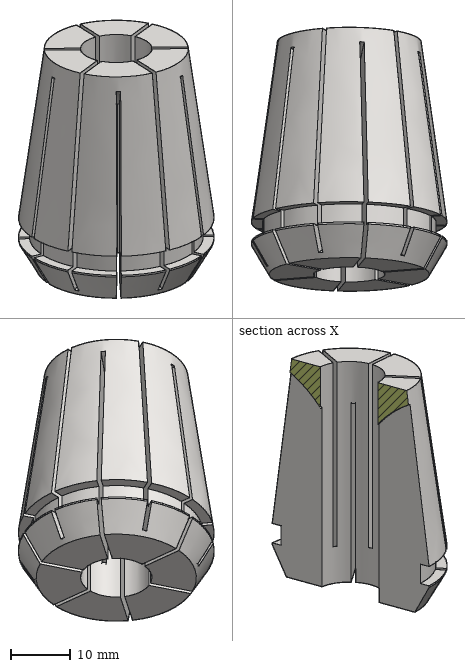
import cadquery as cq
import math

length = 40.0
rim_radius = 16.5
bore_radius = 6.0

taper_angle = 8.0
taper_start_z = 9.0
top_radius = rim_radius - (length - taper_start_z) * math.tan(math.radians(taper_angle))

nose_angle = 30.0
rim_bottom_z = 5.2
rim_top_z = 5.5
groove_radius = 14.65
nose_radius = rim_radius - rim_bottom_z * math.tan(math.radians(nose_angle))

slots_per_end = 6
slot_pitch = 360.0 / slots_per_end
slot_width = 0.75
cutter_radius = 22.0
cutter_center_radius = 22.5
top_slot_bore_z = 6.7
nose_slot_bore_z = 32.4
cutter_rise_at_bore = math.sqrt(cutter_radius**2 - (cutter_center_radius - bore_radius) ** 2)

clearance = 1.0
slot_inner_radius = bore_radius - clearance
slot_outer_radius = rim_radius + clearance


def make_body():
    """Revolved collet with its nose, groove, taper and plain bore."""
    profile = [
        (bore_radius, 0),
        (nose_radius, 0),
        (rim_radius, rim_bottom_z),
        (rim_radius, rim_top_z),
        (groove_radius, rim_top_z),
        (groove_radius, taper_start_z),
        (rim_radius, taper_start_z),
        (top_radius, length),
        (bore_radius, length),
    ]
    return cq.Workplane("XZ").polyline(profile).close().revolve(360, (0, 0), (0, 1))


def make_slot(open_z, bore_z, cutting_side):
    """Slot along +X, open at open_z, with its closed end rounded by a disc cutter.

    bore_z is the height where the closed end meets the bore; cutting_side is
    +1 for an end at the top of the disc and -1 for an end at its bottom.
    """
    center_z = bore_z - cutting_side * cutter_rise_at_bore

    def end_point(radius):
        rise = math.sqrt(cutter_radius**2 - (cutter_center_radius - radius) ** 2)
        return (radius, center_z + cutting_side * rise)

    middle_radius = (slot_inner_radius + slot_outer_radius) / 2
    return (
        cq.Workplane("XZ")
        .moveTo(slot_inner_radius, open_z)
        .lineTo(*end_point(slot_inner_radius))
        .threePointArc(end_point(middle_radius), end_point(slot_outer_radius))
        .lineTo(slot_outer_radius, open_z)
        .close()
        .extrude(slot_width / 2, both=True)
    )


def cut_slots(body):
    """Cut both rings of slots, offset from each other by half a pitch."""
    top_slot = make_slot(length + clearance, top_slot_bore_z, -1)
    nose_slot = make_slot(-clearance, nose_slot_bore_z, 1)
    for index in range(slots_per_end):
        top_slot_angle = index * slot_pitch
        nose_slot_angle = top_slot_angle + slot_pitch / 2
        body = body.cut(top_slot.rotate((0, 0, 0), (0, 0, 1), top_slot_angle))
        body = body.cut(nose_slot.rotate((0, 0, 0), (0, 0, 1), nose_slot_angle))
    return body


result = cut_slots(make_body())